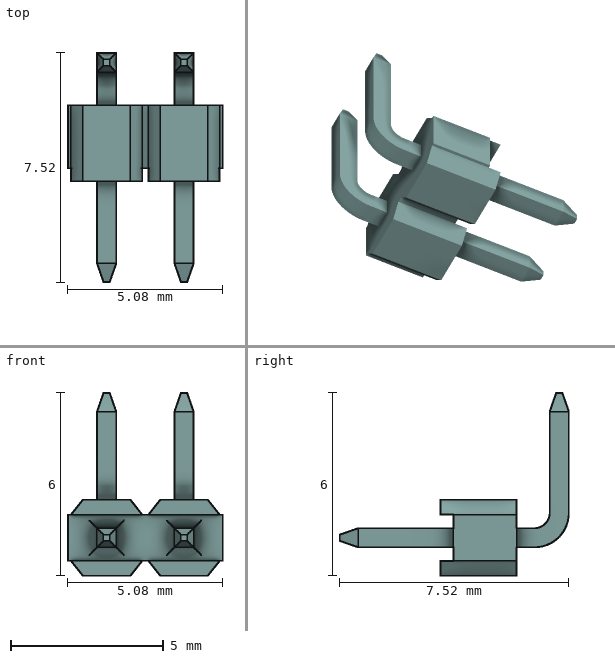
import cadquery as cq
import math


pin_count = 2
pitch = 2.54
pin_positions = [(i - (pin_count - 1) / 2) * pitch for i in range(pin_count)]

pin_width = 0.635
half_pin = pin_width / 2
tip_length = 0.61
tip_width = 0.21
bend_inner_radius = 0.5
bend_outer_radius = bend_inner_radius + pin_width
tail_rear_y = 1.72
overall_depth = 7.52
pin_front_y = tail_rear_y - overall_depth

housing_height = 2.5
overall_height = 6.0
tail_top_z = overall_height - housing_height / 2
body_width = pin_count * pitch
body_height = 1.52
body_depth = 2.07
flare_radius = 0.3

ridge_depth = 2.5
ridge_base_width = 2.34
ridge_crest_width = 1.56

arc_mid_ratio = 1 - math.sqrt(0.5)


def make_ridge_pair(x):
    """Upper ridge and its mirror image below, both tapering away from the body."""
    half_base = ridge_base_width / 2
    half_crest = ridge_crest_width / 2
    base_z = body_height / 2
    crest_z = housing_height / 2
    profile = [(-half_base, base_z), (half_base, base_z), (half_crest, crest_z), (-half_crest, crest_z)]
    upper = cq.Workplane("XZ").polyline(profile).close().extrude(ridge_depth)
    lower = upper.mirror("XY")
    return [ridge.translate((x, 0, 0)) for ridge in (upper, lower)]


def flare_profile(plane):
    """Outline of the pin entry, as wide as the pin at depth and rounding out to the front face."""
    front_y = -body_depth
    inner_y = front_y + flare_radius
    half_mouth = half_pin + flare_radius
    arc_rise = flare_radius * arc_mid_ratio
    mid_u = half_pin + arc_rise
    mid_y = front_y + arc_rise
    return (
        cq.Workplane(plane)
        .moveTo(-half_pin, inner_y)
        .lineTo(half_pin, inner_y)
        .threePointArc((mid_u, mid_y), (half_mouth, front_y))
        .lineTo(-half_mouth, front_y)
        .threePointArc((-mid_u, mid_y), (-half_pin, inner_y))
        .close()
    )


def make_flare(x):
    """Square funnel with mitred corners: the same rounded outline crossed in X and in Z."""
    half_length = half_pin + flare_radius
    across_x = flare_profile("XY").extrude(half_length, both=True)
    across_z = flare_profile("ZY").extrude(half_length, both=True)
    return across_x.intersect(across_z).translate((x, 0, 0))


def make_tip(plane):
    """Blunt pyramid tapering from the pin section to the small end face."""
    return (
        cq.Workplane(plane)
        .rect(pin_width, pin_width)
        .workplane(offset=tip_length)
        .rect(tip_width, tip_width)
        .loft(ruled=True)
    )


def make_pin(x):
    """L-shaped square pin with a rounded bend and two tapered tips."""
    shank_front_y = pin_front_y + tip_length
    shank_top_z = tail_top_z - tip_length
    tail_front_y = tail_rear_y - pin_width
    outer_rise = bend_outer_radius * arc_mid_ratio
    inner_rise = bend_inner_radius * arc_mid_ratio
    bend_start_y = tail_rear_y - bend_outer_radius
    bend_end_z = bend_outer_radius - half_pin
    outer_mid = (tail_rear_y - outer_rise, -half_pin + outer_rise)
    inner_mid = (tail_front_y - inner_rise, half_pin + inner_rise)
    shank = (
        cq.Workplane("YZ")
        .moveTo(shank_front_y, -half_pin)
        .lineTo(bend_start_y, -half_pin)
        .threePointArc(outer_mid, (tail_rear_y, bend_end_z))
        .lineTo(tail_rear_y, shank_top_z)
        .lineTo(tail_front_y, shank_top_z)
        .lineTo(tail_front_y, bend_end_z)
        .threePointArc(inner_mid, (bend_start_y, half_pin))
        .lineTo(shank_front_y, half_pin)
        .close()
        .extrude(half_pin, both=True)
    )
    front_tip = make_tip("XZ").translate((0, shank_front_y, 0))
    tail_tip = make_tip("XY").translate((0, tail_rear_y - half_pin, shank_top_z))
    return shank.union(front_tip).union(tail_tip).translate((x, 0, 0))


body = cq.Workplane("XY").box(body_width, body_depth, body_height).translate((0, -body_depth / 2, 0))
for pin_x in pin_positions:
    for ridge in make_ridge_pair(pin_x):
        body = body.union(ridge)
    body = body.cut(make_flare(pin_x))

result = body
for pin_x in pin_positions:
    result = result.union(make_pin(pin_x))